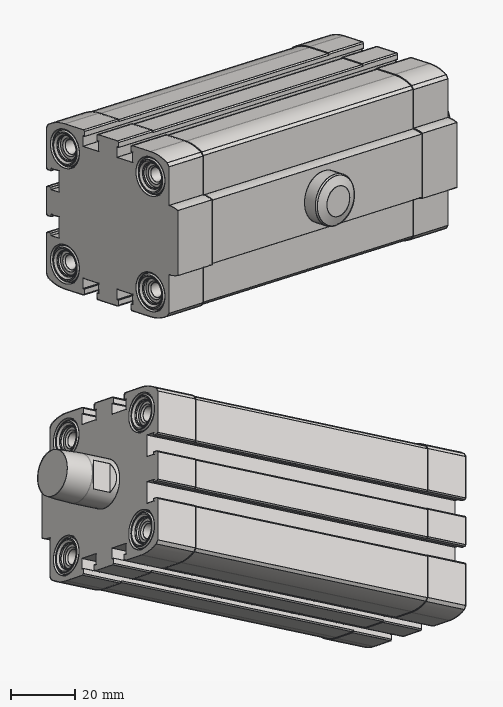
import cadquery as cq
import math

overall_length = 142.9
overall_width = 64.6
housing_length = 122.5
cap_length = 15.1
cap_width = 54.5
cap_half_width = cap_width / 2
barrel_inset = 0.3
barrel_length = housing_length - 2 * cap_length

screw_offset = 19.0
corner_arc_radius = 15.3
corner_arc_run = 7.5
corner_flat_start = 24.2

rib_height = 4.0
rib_face_x = cap_half_width + rib_height
rib_base_half_height = 11.5
rib_face_half_height = 10.7
rib_flank_radius = 11.5

slot_offset = 7.6
slot_mouth_width = 5.5
slot_inner_width = 7.0
slot_floor = 21.7
lip_underside = 25.2
mouth_chamfer = 0.5
slot_side_angles = (-90, 0, 180)

groove_diameter = 12.9
groove_depth = 2.1
head_diameter = 11.9
head_rim_diameter = 10.9
socket_mouth_diameter = 10.0
socket_diameter = 8.6
socket_step_depth = 0.9
socket_floor_diameter = 8.0
socket_depth = 2.0
bore_mouth_diameter = 6.0
bore_diameter = 4.9

rod_diameter = 16.0
rod_tip_diameter = 15.0
rod_crown_length = 9.6
flat_width = 13.0
flat_to_tip = 11.3
flat_length = 6.5

button_y = 64.3
button_diameter = 17.0
button_shoulder_x = 35.7
button_cone_x = 36.3
button_cone_diameter = 16.3
button_tip_x = overall_width - cap_half_width
button_tip_diameter = 10.0


def housing_section(inset):
    """Closed outline in X and Z without the slots, shrunk by the inset."""
    half_width = cap_half_width - inset
    arc_radius = corner_arc_radius - inset
    arc_run = corner_arc_run - inset
    arc_end_x = screw_offset + arc_run
    arc_end_z = half_width - arc_radius + math.sqrt(arc_radius**2 - arc_run**2)
    rib_x = rib_face_x - inset
    rib_base_z = rib_base_half_height - inset
    rib_face_z = rib_face_half_height - inset
    return (
        cq.Workplane("XZ")
        .moveTo(-screw_offset, half_width)
        .lineTo(screw_offset, half_width)
        .radiusArc((arc_end_x, arc_end_z), arc_radius)
        .lineTo(half_width, corner_flat_start)
        .lineTo(half_width, rib_base_z)
        .radiusArc((rib_x, rib_face_z), rib_flank_radius)
        .lineTo(rib_x, -rib_face_z)
        .radiusArc((half_width, -rib_base_z), rib_flank_radius)
        .lineTo(half_width, -corner_flat_start)
        .lineTo(arc_end_x, -arc_end_z)
        .radiusArc((screw_offset, -half_width), arc_radius)
        .lineTo(-screw_offset, -half_width)
        .radiusArc((-arc_end_x, -arc_end_z), arc_radius)
        .lineTo(-half_width, -corner_flat_start)
        .lineTo(-half_width, corner_flat_start)
        .lineTo(-arc_end_x, arc_end_z)
        .radiusArc((-screw_offset, half_width), arc_radius)
        .close()
    )


def t_slot(offset, angle, outer_face, length):
    """Cutter for one T-slot that opens at the given distance from the housing axis."""
    mouth = slot_mouth_width / 2
    inner = slot_inner_width / 2
    right_side = [
        (inner, slot_floor),
        (inner, lip_underside),
        (mouth, lip_underside),
        (mouth, outer_face - mouth_chamfer),
        (mouth + mouth_chamfer, outer_face),
    ]
    left_side = [(-x, z) for x, z in reversed(right_side)]
    slot = cq.Workplane("XZ").polyline(right_side + left_side).close().extrude(-length)
    return slot.translate((offset, 0, 0)).rotate((0, 0, 0), (0, 1, 0), angle)


def housing_stretch(inset, start, length):
    """Slotted length of the housing that begins at Y = start."""
    stretch = housing_section(inset).extrude(-length)
    for angle in slot_side_angles:
        for offset in (-slot_offset, slot_offset):
            stretch = stretch.cut(t_slot(offset, angle, cap_half_width - inset, length))
    return stretch.translate((0, start, 0))


def screw_cutter():
    """Ring groove and stepped socket at both ends, joined by the through bore."""
    middle = housing_length / 2
    head_chamfer = (head_diameter - head_rim_diameter) / 2
    socket_chamfer = (socket_mouth_diameter - socket_diameter) / 2
    socket_step = (socket_diameter - socket_floor_diameter) / 2
    bore_chamfer = (bore_mouth_diameter - bore_diameter) / 2
    groove = (
        cq.Workplane("XY")
        .moveTo(groove_diameter / 2, 0)
        .lineTo(groove_diameter / 2, groove_depth)
        .lineTo(head_diameter / 2, groove_depth)
        .lineTo(head_diameter / 2, head_chamfer)
        .lineTo(head_rim_diameter / 2, 0)
        .close()
        .revolve(360, (0, 0, 0), (0, 1, 0))
    )
    socket = (
        cq.Workplane("XY")
        .lineTo(socket_mouth_diameter / 2, 0)
        .lineTo(socket_diameter / 2, socket_chamfer)
        .lineTo(socket_diameter / 2, socket_step_depth)
        .lineTo(socket_floor_diameter / 2, socket_step_depth + socket_step)
        .lineTo(socket_floor_diameter / 2, socket_depth)
        .lineTo(bore_mouth_diameter / 2, socket_depth)
        .lineTo(bore_diameter / 2, socket_depth + bore_chamfer)
        .lineTo(bore_diameter / 2, middle)
        .lineTo(0, middle)
        .close()
        .revolve(360, (0, 0, 0), (0, 1, 0))
    )
    near_half = groove.add(socket).combine()
    far_half = near_half.mirror("XZ").translate((0, housing_length, 0))
    return near_half.union(far_half)


def make_housing():
    near_cap = housing_stretch(0, 0, cap_length)
    barrel = housing_stretch(barrel_inset, cap_length, barrel_length)
    far_cap = housing_stretch(0, cap_length + barrel_length, cap_length)
    body = near_cap.union(barrel).union(far_cap)
    cutter = screw_cutter()
    for x in (-screw_offset, screw_offset):
        for z in (-screw_offset, screw_offset):
            body = body.cut(cutter.translate((x, 0, z)))
    return body.solids()


def wrench_flat():
    """Cutter for the flat on the +X side of the rod, with 45 degree ends."""
    rod_radius = rod_diameter / 2
    flat_x = flat_width / 2
    depth = rod_radius - flat_x
    far_y = overall_length - flat_to_tip
    near_y = far_y - flat_length
    return (
        cq.Workplane("XY")
        .moveTo(flat_x, near_y)
        .lineTo(flat_x, far_y)
        .lineTo(rod_radius, far_y + depth)
        .lineTo(rod_radius, near_y - depth)
        .close()
        .extrude(rod_radius, both=True)
    )


def make_rod():
    rod_radius = rod_diameter / 2
    tip_radius = rod_tip_diameter / 2
    taper = rod_radius - tip_radius
    crown_radius = (rod_crown_length**2 + taper**2) / (2 * taper)
    blank = (
        cq.Workplane("XY")
        .moveTo(0, housing_length)
        .lineTo(rod_radius, housing_length)
        .lineTo(rod_radius, overall_length - rod_crown_length)
        .radiusArc((tip_radius, overall_length), -crown_radius)
        .lineTo(0, overall_length)
        .close()
        .revolve(360, (0, 0, 0), (0, 1, 0))
    )
    flat = wrench_flat()
    return blank.cut(flat).cut(flat.mirror("YZ")).solids()


def make_button():
    base_x = rib_face_x - barrel_inset
    return (
        cq.Workplane("XY")
        .moveTo(base_x, 0)
        .lineTo(base_x, button_diameter / 2)
        .lineTo(button_shoulder_x, button_diameter / 2)
        .lineTo(button_cone_x, button_cone_diameter / 2)
        .lineTo(button_tip_x, button_tip_diameter / 2)
        .lineTo(button_tip_x, 0)
        .close()
        .revolve(360, (0, 0, 0), (1, 0, 0))
        .translate((0, button_y, 0))
    )


housing = make_housing()
rod = make_rod()
button = make_button()
result = cq.Compound.makeCompound([housing.val(), rod.val(), button.val()])